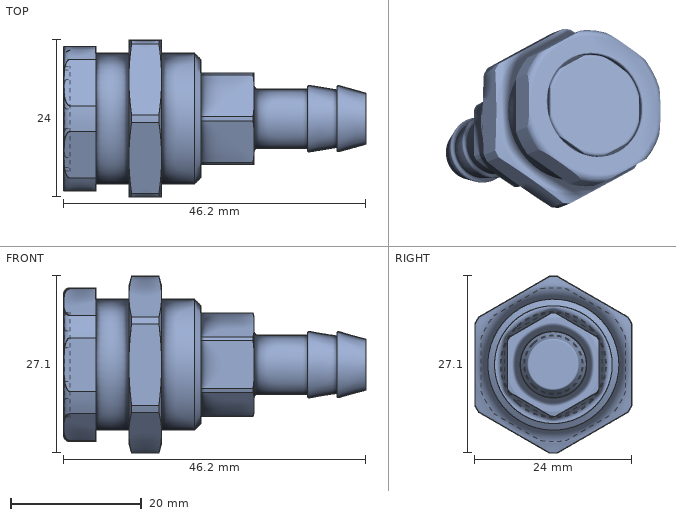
import cadquery as cq
import math


head_length = 4.95
head_across_flats = 22.05
head_corner_diameter = 23.5
head_fillet = 1.0

body_end = 20.97
body_diameter = 20.0
body_chamfer = 1.0

nut_start = 10.0
nut_width = 5.0
nut_across_flats = 24.0
nut_corner_diameter = 27.05

rear_hex_end = 29.1
rear_hex_across_flats = 14.0
rear_hex_corner_diameter = 15.8
rear_hex_chamfer_diameter = 14.4

hex_chamfer_angle = math.radians(15)

hex_half_angle = 180 / 6

total_length = 46.2
tail_diameter = 9.05
tail_root_fillet = 0.5
barb_starts = (37.25, 41.7)
barb_peak_diameter = 10.25
barb_valley_diameter = 8.8
barb_peak_fillet = 0.3
tip_diameter = 7.75
tip_fillet = 0.25

recess_diameter = 16.0
recess_mouth_diameter = 16.2
recess_depth = 1.0
plug_across_flats = 14.88
plug_corner_diameter = 15.75
plug_fillet = 0.5


def cylinder(start, end, diameter):
    """Cylinder on the X axis between two stations."""
    return cq.Workplane("YZ", origin=(start, 0, 0)).circle(diameter / 2).extrude(end - start)


def revolve_profile(points):
    """Solid of revolution about X from (station, radius) points, closed on the axis."""
    return cq.Workplane("XY").polyline(points).close().revolve(360, (0, 0, 0), (1, 0, 0))


def cut_to_hexagon(turned, start, end, across_flats):
    """Trim a turned blank with a hexagonal prism that has corners at +Z and -Z."""
    point_to_point = across_flats / math.cos(math.radians(hex_half_angle))
    prism = (
        cq.Workplane("YZ", origin=(start, 0, 0))
        .polygon(6, point_to_point)
        .extrude(end - start)
        .rotate((0, 0, 0), (1, 0, 0), hex_half_angle)
    )
    return turned.intersect(prism)


def chamfer_length(corner_diameter, face_diameter):
    """Length along X of a hexagon's end chamfer."""
    return (corner_diameter - face_diameter) / 2 * math.tan(hex_chamfer_angle)


def make_head():
    blank = cylinder(0, head_length, head_corner_diameter).faces("<X").edges().fillet(head_fillet)
    return cut_to_hexagon(blank, 0, head_length, head_across_flats)


def make_body():
    return cylinder(0, body_end, body_diameter).faces(">X").edges().chamfer(body_chamfer)


def make_nut():
    nut_end = nut_start + nut_width
    chamfer = chamfer_length(nut_corner_diameter, nut_across_flats)
    face_radius = nut_across_flats / 2
    corner_radius = nut_corner_diameter / 2
    blank = revolve_profile([
        (nut_start, 0),
        (nut_start, face_radius),
        (nut_start + chamfer, corner_radius),
        (nut_end - chamfer, corner_radius),
        (nut_end, face_radius),
        (nut_end, 0),
    ])
    return cut_to_hexagon(blank, nut_start, nut_end, nut_across_flats)


def make_rear_hex():
    chamfer = chamfer_length(rear_hex_corner_diameter, rear_hex_chamfer_diameter)
    corner_radius = rear_hex_corner_diameter / 2
    blank = revolve_profile([
        (body_end, 0),
        (body_end, corner_radius),
        (rear_hex_end - chamfer, corner_radius),
        (rear_hex_end, rear_hex_chamfer_diameter / 2),
        (rear_hex_end, 0),
    ])
    return cut_to_hexagon(blank, body_end, rear_hex_end, rear_hex_across_flats)


def make_tail():
    tail_radius = tail_diameter / 2
    root_radius = tail_radius + tail_root_fillet
    arc_middle = tail_root_fillet * (1 - math.sqrt(0.5))
    profile = (
        cq.Workplane("XY")
        .moveTo(rear_hex_end, 0)
        .lineTo(rear_hex_end, root_radius)
        .threePointArc(
            (rear_hex_end + arc_middle, tail_radius + arc_middle),
            (rear_hex_end + tail_root_fillet, tail_radius),
        )
        .lineTo(barb_starts[0], tail_radius)
        .lineTo(barb_starts[0], 0)
        .close()
    )
    return profile.revolve(360, (0, 0, 0), (1, 0, 0))


def make_barb(start, end, end_diameter):
    """Cone that narrows toward +X, with its wide front rim rounded."""
    cone = revolve_profile([
        (start, 0),
        (start, barb_peak_diameter / 2),
        (end, end_diameter / 2),
        (end, 0),
    ])
    return cone.faces("<X").edges().fillet(barb_peak_fillet)


def make_recess():
    hole = cylinder(0, recess_depth, recess_diameter)
    mouth_chamfer = (recess_mouth_diameter - recess_diameter) / 2
    mouth = revolve_profile([
        (0, 0),
        (0, recess_mouth_diameter / 2),
        (mouth_chamfer, recess_diameter / 2),
        (mouth_chamfer, 0),
    ])
    return hole.union(mouth)


def make_plug():
    blank = cylinder(0, recess_depth, plug_corner_diameter).faces("<X").edges().fillet(plug_fillet)
    return cut_to_hexagon(blank, 0, recess_depth, plug_across_flats)


first_barb = make_barb(barb_starts[0], barb_starts[1], barb_valley_diameter)
second_barb = make_barb(barb_starts[1], total_length, tip_diameter).faces(">X").edges().fillet(tip_fillet)

result = (
    make_head()
    .union(make_body())
    .cut(make_recess())
    .union(make_plug())
    .union(make_nut())
    .union(make_rear_hex())
    .union(make_tail())
    .union(first_barb)
    .union(second_barb)
)